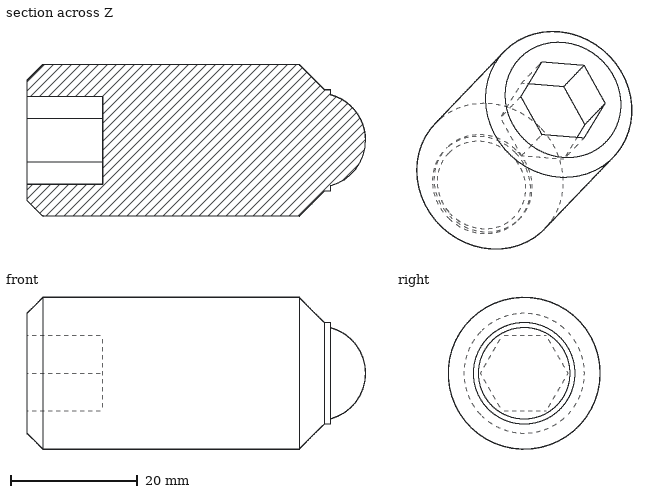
import cadquery as cq
import math

total_length = 53.5
body_diameter = 24.0
body_radius = body_diameter / 2

rear_chamfer = 2.5
nose_start = 43.0
collar_radius = 8.0
collar_width = 0.95
nose_end = nose_start + body_radius - collar_radius
collar_end = nose_end + collar_width

ball_radius = 7.5
ball_center = total_length - ball_radius
ball_root_radius = math.sqrt(ball_radius**2 - (collar_end - ball_center) ** 2)
arc_mid_offset = ball_radius * math.sqrt(0.5)

socket_across_flats = 12.0
socket_depth = 12.0


def make_body():
    """Revolve the half outline of the body, collar and ball about X."""
    return (
        cq.Workplane("XY")
        .moveTo(0, 0)
        .lineTo(0, body_radius - rear_chamfer)
        .lineTo(rear_chamfer, body_radius)
        .lineTo(nose_start, body_radius)
        .lineTo(nose_end, collar_radius)
        .lineTo(collar_end, collar_radius)
        .lineTo(collar_end, ball_root_radius)
        .threePointArc((ball_center + arc_mid_offset, arc_mid_offset), (total_length, 0))
        .close()
        .revolve(360, (0, 0, 0), (1, 0, 0))
    )


def make_socket():
    """Blind hexagon with two corners on the Y axis."""
    across_corners = socket_across_flats / math.cos(math.pi / 6)
    return cq.Workplane("YZ").polygon(6, across_corners).extrude(socket_depth)


result = make_body().cut(make_socket())